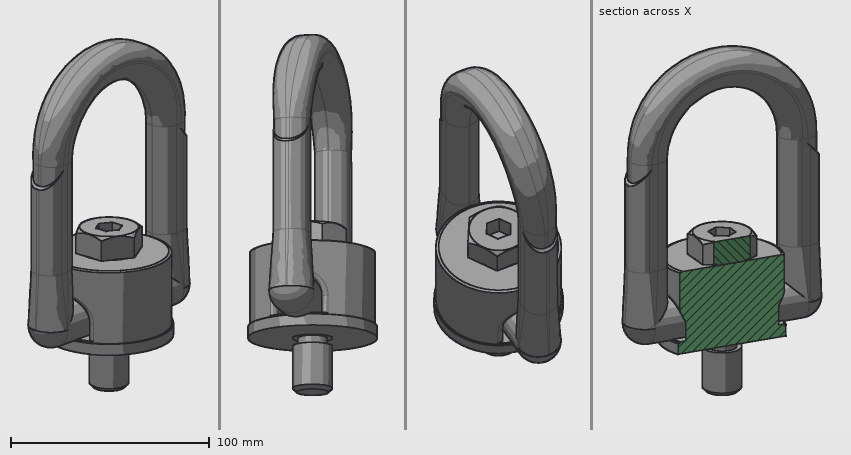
import cadquery as cq
import math


flange_radius = 32.5
flange_height = 5.8
housing_radius = 31.5
housing_top = 44.2
rim_chamfer_height = 0.5
rim_chamfer_width = 1.5
pocket_floor = 6.8
pocket_mouth_radius = 2.4

thread_diameter = 20.0
thread_end = -27.8
thread_top = -4.2
thread_chamfer = 2.0
neck_diameter = 15.0
head_flats = 30.1
collar_radius = 14.2
collar_height = 0.5
head_top = 57.2
head_chamfer_width = 2.5
head_chamfer_height = 1.8
socket_flats = 12.0
socket_depth = 9.1
head_seat = housing_top + collar_height

total_width = 109.2
top_height = 154.8
inner_radius = 31.8
inner_flat = 0.4
arch_thickness = 19.9
arch_top_width = 21.4
arch_flank_width = 20.0
arch_corner = 8.0
leg_width = 17.7
leg_thickness = 21.4
leg_corner = 8.0
leg_taper_start = 45.6
shoulder_height = 90.7
stub_overlap = 9.1
trunnion_height = 15.9
trunnion_inner_end = 16.5

arch_outer_radius = inner_radius + arch_thickness
arch_middle_radius = inner_radius + arch_thickness / 2
arch_center = top_height - arch_outer_radius
leg_outer = inner_radius + leg_thickness
trunnion_radius = (total_width / 2 - inner_radius) / 2
trunnion_axis_y = inner_radius + trunnion_radius


def hexagon_prism(across_flats, bottom, height):
    """Hexagonal prism on the Z axis with two corners on the X axis."""
    across_corners = across_flats / math.cos(math.pi / 6)
    return cq.Workplane("XY").workplane(offset=bottom).polygon(6, across_corners).extrude(height)


def cylinder(radius, bottom, top):
    return cq.Workplane("XY").workplane(offset=bottom).circle(radius).extrude(top - bottom)


def rounded_section(width, thickness, outer_corner):
    """Bar section with its width along local X and its outer side towards local +Y.

    The inner side is almost a half circle, the outer side has rounded corners.
    """
    inner_corner = (width - inner_flat) / 2
    section = cq.Sketch().rect(width, thickness)
    section = section.vertices(">Y").fillet(outer_corner).reset()
    return section.vertices("<Y").fillet(inner_corner).reset()


def make_leg():
    """Leg on the +Y side: straight bar, flared foot, ball and inward trunnion."""
    middle_y = inner_radius + leg_thickness / 2
    bar_section = rounded_section(leg_width, leg_thickness, leg_corner)
    bar = (
        cq.Workplane("XY", origin=(0, middle_y, leg_taper_start))
        .placeSketch(bar_section)
        .extrude(arch_center - leg_taper_start)
    )
    slope_rise = arch_center - shoulder_height
    slope = (
        cq.Workplane("YZ", origin=(-leg_width, 0, 0))
        .moveTo(leg_outer, shoulder_height)
        .lineTo(leg_outer, arch_center)
        .lineTo(leg_outer - slope_rise, arch_center)
        .close()
        .extrude(2 * leg_width)
    )
    bar = bar.cut(slope)

    stub = (
        cq.Workplane("XY", origin=(0, arch_middle_radius, shoulder_height - stub_overlap))
        .placeSketch(rounded_section(leg_width, arch_thickness, leg_corner))
        .extrude(slope_rise + stub_overlap)
    )

    foot_size = 2 * trunnion_radius
    foot_section = rounded_section(foot_size, foot_size, (foot_size - inner_flat) / 2)
    foot = (
        cq.Workplane("XY")
        .placeSketch(
            foot_section.moved(cq.Location(cq.Vector(0, trunnion_axis_y, trunnion_height))),
            bar_section.moved(cq.Location(cq.Vector(0, middle_y, leg_taper_start))),
        )
        .loft()
    )
    ball = cq.Workplane("XY", origin=(0, trunnion_axis_y, trunnion_height)).sphere(trunnion_radius)
    trunnion = (
        cq.Workplane("XZ", origin=(0, trunnion_axis_y, trunnion_height))
        .circle(trunnion_radius)
        .extrude(trunnion_axis_y - trunnion_inner_end)
    )
    return bar.union(stub).union(foot).union(trunnion).union(ball)


def make_arch():
    """Half ring over the legs, widening in X from its ends to its upper part."""
    path = (
        cq.Workplane("YZ")
        .moveTo(arch_middle_radius, arch_center)
        .threePointArc((0, arch_center + arch_middle_radius), (-arch_middle_radius, arch_center))
    )
    half_sizes = [
        (leg_width, leg_corner),
        (arch_flank_width, arch_corner),
        (arch_top_width, arch_corner),
        (arch_top_width, arch_corner),
    ]
    crown_size = (arch_top_width, arch_corner)
    sizes = [*half_sizes, crown_size, *reversed(half_sizes)]
    sections = []
    for index, (width, corner) in enumerate(sizes):
        angle = math.pi * index / (len(sizes) - 1)
        outward = cq.Vector(0, math.cos(angle), math.sin(angle))
        plane = cq.Plane(
            origin=outward * arch_middle_radius + cq.Vector(0, 0, arch_center),
            xDir=(1, 0, 0),
            normal=(0, -math.sin(angle), math.cos(angle)),
        )
        section = rounded_section(width, arch_thickness, corner)
        sections.append(section.moved(plane.location))
    return cq.Workplane("XY").placeSketch(*sections).sweep(path, multisection=True)


def make_shackle():
    leg = make_leg()
    return make_arch().union(leg).union(leg.mirror("XZ"))


def make_pocket():
    """Arched recess around the trunnion on the +Y side, with a flat floor."""
    return (
        cq.Workplane("XZ", origin=(0, flange_radius, 0))
        .moveTo(-trunnion_radius, pocket_floor)
        .lineTo(trunnion_radius, pocket_floor)
        .lineTo(trunnion_radius, trunnion_height)
        .threePointArc((0, trunnion_height + trunnion_radius), (-trunnion_radius, trunnion_height))
        .close()
        .extrude(flange_radius - trunnion_inner_end)
    )


def make_housing(shackle):
    """Drum with a flange, a bolt bore and two rounded pockets fitted to the shackle."""
    pocket = make_pocket()
    drum = cylinder(housing_radius, pocket_floor, housing_top)
    drum = drum.faces(">Z").edges().chamfer(rim_chamfer_height, rim_chamfer_width)
    drum = drum.cut(pocket).cut(pocket.mirror("XZ"))
    for side in (1, -1):
        mouth = cq.selectors.BoxSelector(
            (-housing_radius, side * trunnion_axis_y, pocket_floor + pocket_mouth_radius),
            (housing_radius, side * (housing_radius - 2 * pocket_mouth_radius), trunnion_axis_y),
        )
        drum = drum.edges(mouth).fillet(pocket_mouth_radius)

    base = cylinder(housing_radius, 0, pocket_floor)
    flange = cylinder(flange_radius, 0, flange_height)
    bore = cylinder(thread_diameter / 2, 0, housing_top)
    return drum.union(base).union(flange).cut(bore).cut(shackle)


def make_head():
    """Hexagon head with turned-down corners and a hexagon socket."""
    height = head_top - head_seat
    corner_radius = head_flats / 2 / math.cos(math.pi / 6)
    turned = cylinder(corner_radius, head_seat, head_top)
    turned = turned.faces(">Z").edges().chamfer(head_chamfer_height, head_chamfer_width)
    socket = hexagon_prism(socket_flats, head_top - socket_depth, socket_depth)
    return hexagon_prism(head_flats, head_seat, height).intersect(turned).cut(socket)


def make_bolt():
    collar = cylinder(collar_radius, housing_top, head_seat)
    shank = cylinder(thread_diameter / 2, 0, housing_top)
    neck = cylinder(neck_diameter / 2, thread_top, 0)
    thread = cylinder(thread_diameter / 2, thread_end, thread_top)
    thread = thread.faces("<Z").edges().chamfer(thread_chamfer)
    return make_head().union(collar).union(shank).union(neck).union(thread)


shackle = make_shackle()
housing = make_housing(shackle)
bolt = make_bolt()

result = cq.Compound.makeCompound([housing.val(), bolt.val(), shackle.val()])